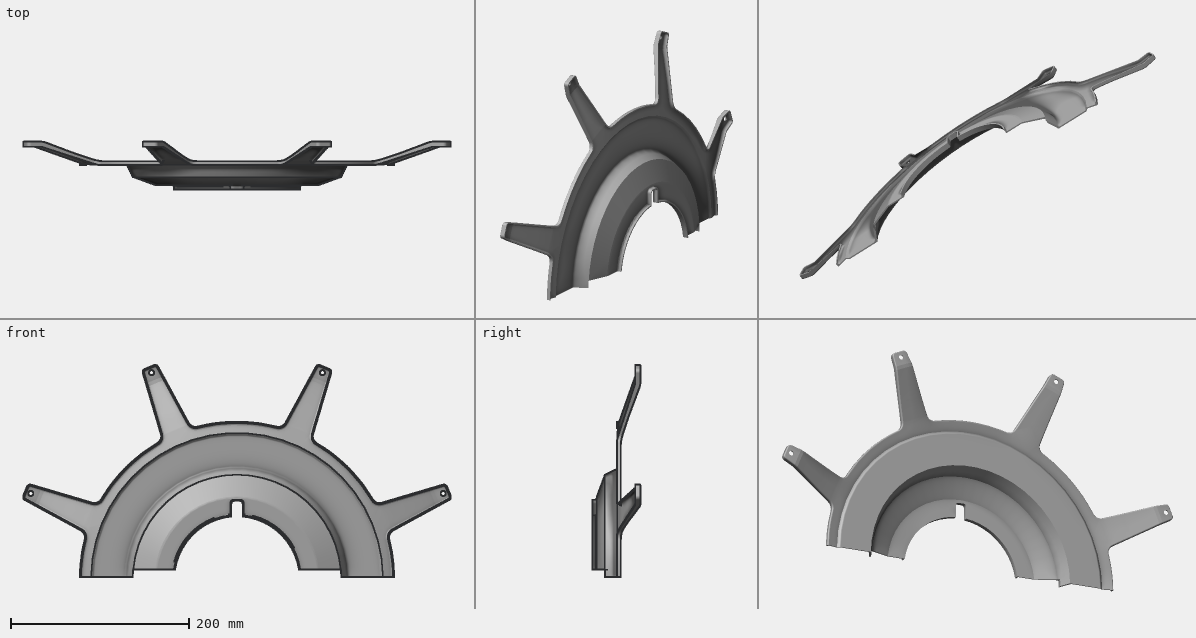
import cadquery as cq
import math

SHEET = 1.5
RIM_RADIUS = 176.8
RIM_CUT_Z = 2.0
DISH_CUT_Z = 10.5

BORE_RADIUS = 70.3
FLOOR_RADIUS = 91.5
FLOOR_Y = 4.6
KNEE_RADIUS = 117.0
KNEE_Y = 14.0
WALL_FOOT_RADIUS = 125.0
ANNULUS_Y = 30.0
FLOOR_BEND = 7.0
WALL_FOOT_BEND = 3.0
WALL_RADIAL_SHIFT = 1.2 * SHEET
FLOOR_RADIAL_SHIFT = SHEET / 4

JOGGLE_RADIUS = 161.0
JOGGLE_BEND = 2.0
CREST_RADIUS = 164.0
CREST_Y = 27.8
RIM_SLOPE = 0.22

ARM_ANGLES = (22.5, 67.5, 112.5, 157.5)
ARM_END_RADIUS = 257.65
ARM_END_HALF_WIDTH = 9.0
ARM_TAPER = 0.105
ARM_TIP_CORNER = 4.0
ARM_ROOT_FILLET = 9.0
ARM_SLOPE = 0.36
ARM_BACK_Y = 54.0
BEND_START_RADIUS = 238.0
BEND_END_RADIUS = 242.0
BEND_EASE = 0.7
HOLE_POSITION_RADIUS = 250.8
HOLE_DIAMETER = 5.5

RIM_LIP_Y = 27.4
TIP_LIP_Y = 48.0
LIP_BACK_FILLET = 1.3
LIP_FILLET = 2.0

NOTCH_WIDTH = 12.5
NOTCH_TOP_Z = 87.5
NOTCH_CORNER = 3.0
BORE_LIP_FILLET = 1.4

BEYOND = 300.0
MATCH = 0.01


def turn(profile):
    """Turn a closed (radius, y) profile about the Y axis."""
    return profile.close().revolve(360, (0, 0, 0), (0, 1, 0))


def draw_lines(profile, points):
    for point in points:
        profile = profile.lineTo(*point)
    return profile


def front_plane():
    """Sketch plane ahead of the part; extruding by -BEYOND passes through it all."""
    return cq.Workplane("XZ", origin=(0, -BEYOND / 2, 0))


def offset_prism(prism, distance):
    """Through prism whose outline is that of the given prism, offset outwards."""
    wire = prism.faces("<Y").wires().vals()[0]
    outline = wire.offset2D(distance, "arc")[0]
    return cq.Workplane(cq.Solid.extrudeLinear(outline, [], cq.Vector(0, BEYOND, 0)))


def fillet_circles(body, circle_radius, fillet_radius):
    """Round the circular edges of the given radius."""
    edges = body.edges("%CIRCLE").filter(lambda edge: abs(edge.radius() - circle_radius) < MATCH)
    return edges.fillet(fillet_radius)


def reach(shape):
    """Largest extent of a face or edge along X or Z from the Y axis."""
    box = shape.BoundingBox()
    return max(-box.xmin, box.xmax, -box.zmin, box.zmax)


def start_flange_profile(shift_back):
    """Begin a (radius, y) profile along the rim and arm floor, shifted back, from the crest outwards."""
    tip_y = ARM_BACK_Y - SHEET + shift_back
    crest = (CREST_RADIUS, CREST_Y + shift_back)
    bend_start = (BEND_START_RADIUS, tip_y - BEND_EASE)
    profile = cq.Workplane("XY").moveTo(*crest).spline(
        [crest, bend_start], tangents=[(1, RIM_SLOPE), (1, ARM_SLOPE)]
    )
    return draw_lines(profile, [(BEND_END_RADIUS, tip_y), (BEYOND, tip_y)])


def make_outline():
    """Prism of the rim disc and its arms, with the arm roots and tips rounded."""
    root_half_width = ARM_END_HALF_WIDTH + ARM_TAPER * (ARM_END_RADIUS - CREST_RADIUS)
    arm_corners = [
        (CREST_RADIUS, -root_half_width),
        (ARM_END_RADIUS, -ARM_END_HALF_WIDTH),
        (ARM_END_RADIUS, ARM_END_HALF_WIDTH),
        (CREST_RADIUS, root_half_width),
    ]
    arm = front_plane().polyline(arm_corners).close().extrude(-BEYOND)
    arm = arm.edges("|Y and >X").fillet(ARM_TIP_CORNER)
    outline = front_plane().circle(RIM_RADIUS).extrude(-BEYOND)
    for angle in ARM_ANGLES:
        outline = outline.union(arm.rotate((0, 0, 0), (0, 1, 0), -angle))
    roots = outline.edges("|Y").filter(
        lambda edge: edge.Center().z > RIM_CUT_Z
        and abs(math.hypot(edge.Center().x, edge.Center().z) - RIM_RADIUS) < MATCH
    )
    return roots.fillet(ARM_ROOT_FILLET)


def make_sheet_disc():
    """Turned body of the dish and a flange as thick as its lip, out past the arm tips."""
    front = [
        (BORE_RADIUS - SHEET, FLOOR_Y),
        (FLOOR_RADIUS, FLOOR_Y),
        (KNEE_RADIUS, KNEE_Y),
        (WALL_FOOT_RADIUS, ANNULUS_Y),
        (JOGGLE_RADIUS, ANNULUS_Y),
        (CREST_RADIUS, CREST_Y),
        (CREST_RADIUS, RIM_LIP_Y),
        (RIM_RADIUS, RIM_LIP_Y),
        (BEND_END_RADIUS, TIP_LIP_Y),
        (BEYOND, TIP_LIP_Y),
    ]
    dish_back = [
        (JOGGLE_RADIUS, ANNULUS_Y + SHEET),
        (WALL_FOOT_RADIUS - WALL_RADIAL_SHIFT, ANNULUS_Y + SHEET),
        (KNEE_RADIUS - WALL_RADIAL_SHIFT, KNEE_Y + SHEET),
        (FLOOR_RADIUS - FLOOR_RADIAL_SHIFT, FLOOR_Y + SHEET),
        (BORE_RADIUS - SHEET, FLOOR_Y + SHEET),
    ]
    disc = turn(draw_lines(start_flange_profile(SHEET), front[::-1] + dish_back[::-1]))
    disc = fillet_circles(disc, JOGGLE_RADIUS, JOGGLE_BEND)
    disc = fillet_circles(disc, FLOOR_RADIUS, FLOOR_BEND)
    return fillet_circles(disc, WALL_FOOT_RADIUS, WALL_FOOT_BEND)


def follows_outline(edge):
    """True unless the edge is a circle where two turned surfaces of the flange meet."""
    turned_radii = (CREST_RADIUS, BEND_START_RADIUS, BEND_END_RADIUS)
    is_circle = edge.geomType() == "CIRCLE"
    return not (is_circle and min(abs(edge.radius() - radius) for radius in turned_radii) < MATCH)


def round_back_of_lip(body):
    """Round the outer edge at the back of the rim and arms."""
    back_faces = body.faces().filter(
        lambda face: face.normalAt().y > 0.5 and reach(face) > RIM_RADIUS - MATCH
    )
    return back_faces.edges().filter(follows_outline).fillet(LIP_BACK_FILLET)


def hollow_flange(body, outline):
    """Clear the front of the rim and arm floor, leaving the lip along the edge."""
    ahead_of_floor = turn(draw_lines(start_flange_profile(0), [(BEYOND, 0), (CREST_RADIUS, 0)]))
    pocket = ahead_of_floor.intersect(offset_prism(outline, -SHEET))
    pocket = pocket.edges("not(|Y or <Y)").filter(follows_outline).fillet(LIP_FILLET)
    return body.cut(pocket)


def make_bore():
    """Prism of the bore opening with its notch."""
    notch = front_plane().center(0, NOTCH_TOP_Z / 2).rect(NOTCH_WIDTH, NOTCH_TOP_Z).extrude(-BEYOND)
    notch = notch.edges("|Y and >Z").fillet(NOTCH_CORNER)
    return front_plane().circle(BORE_RADIUS).extrude(-BEYOND).union(notch)


def add_bore_lip(body, bore):
    """Open the bore and raise a wall forward to Y = 0 along it."""
    slab = cq.Workplane("XZ").circle(KNEE_RADIUS).extrude(-(FLOOR_Y + SHEET))
    lip = slab.intersect(offset_prism(bore, SHEET))
    body = body.union(lip).cut(bore)
    foot_edges = body.edges().filter(
        lambda edge: abs(edge.BoundingBox().ymax - FLOOR_Y) + edge.BoundingBox().ylen < MATCH
        and reach(edge) < NOTCH_TOP_Z + 2 * SHEET
    )
    return foot_edges.fillet(BORE_LIP_FILLET)


def drill_arm_tips(body):
    for angle in ARM_ANGLES:
        hole = front_plane().center(HOLE_POSITION_RADIUS, 0).circle(HOLE_DIAMETER / 2).extrude(-BEYOND)
        body = body.cut(hole.rotate((0, 0, 0), (0, 1, 0), -angle))
    return body


def cut_to_half(body):
    """Trim the part at the rim cut, and the dish inside its knee at the higher dish cut."""
    size = 2 * BEYOND
    block = cq.Workplane("XY").box(size, size, size).translate((0, 0, -BEYOND))
    dish_core = front_plane().circle(KNEE_RADIUS).extrude(-BEYOND)
    body = body.cut(block.translate((0, 0, RIM_CUT_Z)))
    return body.cut(block.translate((0, 0, DISH_CUT_Z)).intersect(dish_core))


frame_outline = make_outline()
result = make_sheet_disc().intersect(frame_outline)
result = round_back_of_lip(result)
result = hollow_flange(result, frame_outline)
result = add_bore_lip(result, make_bore())
result = cut_to_half(drill_arm_tips(result))